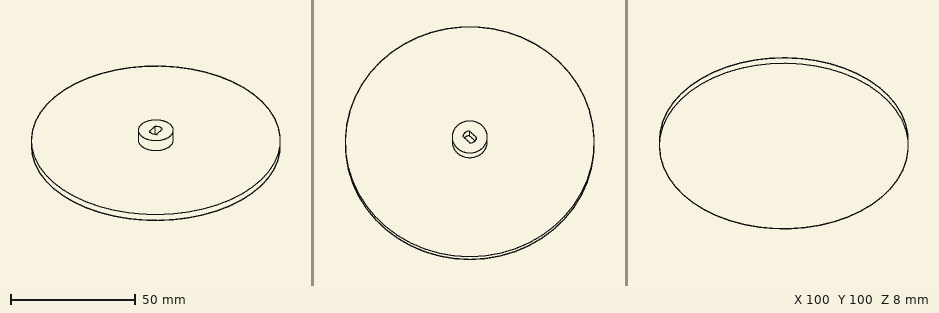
import cadquery as cq

disc_diameter = 100.0
disc_thickness = 3.0
hub_diameter = 14.0
hub_height = 5.0

shaft_diameter = 5.4
shaft_across_flats = 3.5
socket_depth = hub_height

total_height = disc_thickness + hub_height

disc = cq.Workplane("XY").circle(disc_diameter / 2).extrude(disc_thickness)

hub = (
    cq.Workplane("XY")
    .workplane(offset=disc_thickness)
    .circle(hub_diameter / 2)
    .extrude(hub_height)
)


def shaft_socket():
    """Blind double-D pocket opening at the top of the hub."""
    floor = cq.Workplane("XY").workplane(offset=total_height - socket_depth)
    bore = floor.circle(shaft_diameter / 2).extrude(socket_depth)
    flats = floor.rect(shaft_across_flats, shaft_diameter).extrude(socket_depth)
    return bore.intersect(flats)


result = disc.union(hub).cut(shaft_socket())